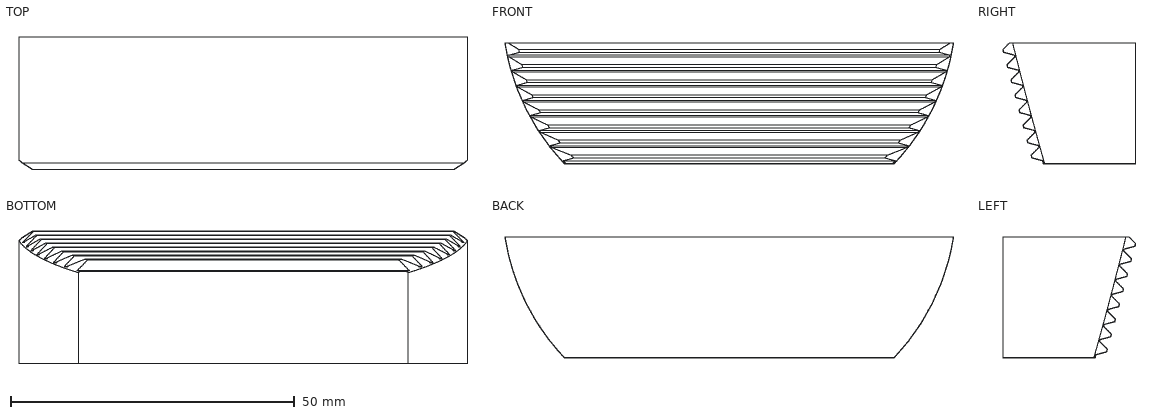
import cadquery as cq
import math

body_radius = 40.0
top_z = -6.2
height = 21.3
bottom_z = top_z - height
depth = 23.4

face_tilt = math.radians(15.0)
flank_angle = math.radians(30.0)
tooth_count = 8
pitch = 2.75
crest_width = 0.5
root_width = 0.3
first_tip_drop = 1.2

flank_width = (pitch - crest_width - root_width) / 2
tooth_height = flank_width / math.tan(flank_angle)

cone_radius = 37.5
cone_center_drop = 1.8
cone_half_angle = math.radians(50.0)
cone_length = 40.0

tip_y = -depth
tip_z = top_z - first_tip_drop


def face_point(down, inward):
    """(y, z) of a point given along the serrated face and into it, from the first tip."""
    y = tip_y + down * math.sin(face_tilt) + inward * math.cos(face_tilt)
    z = tip_z - down * math.cos(face_tilt) + inward * math.sin(face_tilt)
    return y, z


def make_serrated_bar():
    """Bar along X whose front carries the full run of teeth."""
    flank_top = face_point(-flank_width, tooth_height)
    points = [(0, flank_top[1]), flank_top]
    for index in range(tooth_count):
        start = index * pitch
        crest_end = start + crest_width
        root_start = crest_end + flank_width
        points.append(face_point(start, 0))
        points.append(face_point(crest_end, 0))
        points.append(face_point(root_start, tooth_height))
        points.append(face_point(root_start + root_width, tooth_height))
    last_root_y, last_root_z = points.pop()
    points.append((last_root_y + (last_root_z - bottom_z) * math.tan(face_tilt), bottom_z))
    points.append((0, bottom_z))
    bar = cq.Workplane("YZ").polyline(points).close()
    return bar.extrude(body_radius, both=True)


def make_rounded_block():
    """Slice of the cylinder between the flat top and bottom faces."""
    cylinder = cq.Workplane("XZ").circle(body_radius).extrude(depth)
    slab = cq.Workplane("XY").box(
        2 * body_radius, 2 * depth, height, centered=(True, True, False)
    )
    return cylinder.intersect(slab.translate((0, 0, bottom_z)))


def make_bevel_cone():
    """Cone widening into the part from the plane of the crests."""
    axis_down = tip_z / math.cos(face_tilt) + cone_center_drop
    center_y, center_z = face_point(axis_down, 0)
    inward = cq.Vector(0, math.cos(face_tilt), math.sin(face_tilt))
    back_radius = cone_radius + cone_length * math.tan(cone_half_angle)
    cone = cq.Solid.makeCone(
        cone_radius, back_radius, cone_length, cq.Vector(0, center_y, center_z), inward
    )
    return cq.Workplane(obj=cone)


result = make_serrated_bar().intersect(make_rounded_block()).intersect(make_bevel_cone())